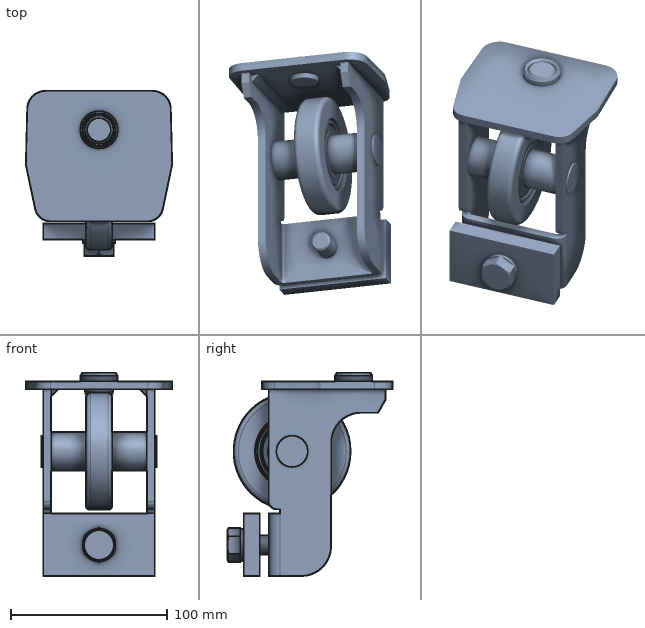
import cadquery as cq
import math


overall_height = 130.5
sheet = 5.2

plate_top = 124.9
plate_thickness = 5.2
plate_back = 25.0
plate_front = -58.7
plate_shoulder_y = -22.3
plate_half_width = 47.0
plate_back_half_width = 45.8
plate_front_half_width = 39.3
plate_back_radius = 12.0
plate_front_radius = 10.0
plate_shoulder_radius = 5.0

arm_span = 71.8
arm_back = 20.5
arm_front = -54.4
arm_tail_bottom = 104.7
arm_tail_slant_top = 113.0
arm_tail_tip = 15.7
arm_waist_back = -14.4
arm_waist_radius = 19.0
arm_heel_radius = 19.3
arm_nose_bottom = 42.8
arm_nose_radius = 5.1
weld_leg = 4.5
weld_inset = sheet

web_height = 40.2
bend_outer_radius = 7.2

kingpin_radius = 9.1
kingpin_top = 130.0
kingpin_bottom = 116.8
kingpin_chamfer = 1.6
kingpin_taper_width = 0.5
kingpin_taper_height = 1.8
collar_radius = 12.0
collar_chamfer_width = 1.3
collar_chamfer_height = 2.1
collar_rim_inner_radius = 10.3

clamp_back = -60.0
clamp_thickness = 10.5
bolt_height = 20.0
bolt_radius = 6.3
bolt_end = -33.1
bolt_end_chamfer = 1.0
washer_radius = 10.6
washer_thickness = 2.2
hex_sides = 6
hex_across_flats = 19.0
hex_thickness = 8.2
hex_chamfer_angle = 30.0

wheel_y = -39.4
wheel_z = 80.0
wheel_radius = 37.6
wheel_width = 17.0
tread_fillet = 3.0
axle_radius = 10.0
axle_length = 74.0
spacer_radius = 12.5
bore_chamfer_radius = 23.9
bore_radius = 23.2
bearing_chamfer = 1.0
bearing_depth = 1.5
groove_outer_radius = 20.5
groove_inner_radius = 18.9
groove_depth = 1.6
shield_inner_radius = 15.5
shield_depth = 0.7

plate_bottom = plate_top - plate_thickness
arm_outer = arm_span / 2
arm_inner = arm_outer - sheet
fold_line = arm_front + bend_outer_radius
clamp_front = clamp_back - clamp_thickness
washer_front = clamp_front - washer_thickness
hex_front = washer_front - hex_thickness


def cylinder_along_x(radius, length):
    """Cylinder on the wheel axis, centred on X = 0."""
    axis_plane = cq.Workplane("YZ", origin=(-length / 2, wheel_y, wheel_z))
    return axis_plane.circle(radius).extrude(length)


def cylinder_along_y(radius, back, front):
    """Cylinder on the bolt axis, from its back end towards the front."""
    axis_plane = cq.Workplane("XZ", origin=(0, back, bolt_height))
    return axis_plane.circle(radius).extrude(back - front)


def make_top_plate():
    right_side = [
        (plate_back_half_width, plate_back),
        (plate_half_width, plate_shoulder_y),
        (plate_front_half_width, plate_front),
    ]
    left_side = [(-x, y) for x, y in reversed(right_side)]
    plate = cq.Workplane("XY", origin=(0, 0, plate_bottom))
    plate = plate.polyline(right_side + left_side).close().extrude(plate_thickness)
    plate = plate.edges("|Z and >Y").fillet(plate_back_radius)
    plate = plate.edges("|Z and <Y").fillet(plate_front_radius)
    return plate.edges("|Z and (>X or <X)").fillet(plate_shoulder_radius)


def make_arm(side):
    """One side arm; side is +1 or -1 along X."""
    heel_back = arm_waist_back - arm_heel_radius
    waist_curve_y = arm_waist_back + arm_waist_radius
    waist_curve_z = arm_tail_bottom - arm_waist_radius
    diagonal = math.sqrt(0.5)
    nose_y = arm_front + arm_nose_radius
    nose_z = arm_nose_bottom + arm_nose_radius
    start_x = arm_inner if side > 0 else -arm_outer
    profile = (
        cq.Workplane("YZ", origin=(start_x, 0, 0))
        .moveTo(arm_front, plate_bottom)
        .lineTo(arm_back, plate_bottom)
        .lineTo(arm_back, arm_tail_slant_top)
        .lineTo(arm_tail_tip, arm_tail_bottom)
        .lineTo(waist_curve_y, arm_tail_bottom)
        .threePointArc(
            (waist_curve_y - arm_waist_radius * diagonal, waist_curve_z + arm_waist_radius * diagonal),
            (arm_waist_back, waist_curve_z),
        )
        .lineTo(arm_waist_back, arm_heel_radius)
        .threePointArc(
            (heel_back + arm_heel_radius * diagonal, arm_heel_radius * (1 - diagonal)),
            (heel_back, 0),
        )
        .lineTo(fold_line, 0)
        .lineTo(fold_line, arm_nose_bottom)
        .lineTo(nose_y, arm_nose_bottom)
        .threePointArc(
            (nose_y - arm_nose_radius * diagonal, nose_z - arm_nose_radius * diagonal),
            (arm_front, nose_z),
        )
        .close()
    )
    return profile.extrude(sheet)


def make_weld(side):
    """Triangular weld in the corner between an arm and the top plate."""
    corner_x = side * arm_inner
    triangle = [
        (corner_x, plate_bottom),
        (corner_x - side * weld_leg, plate_bottom),
        (corner_x, plate_bottom - weld_leg),
    ]
    weld_back = arm_back - weld_inset
    weld_length = weld_back - (arm_front + weld_inset)
    return cq.Workplane("XZ", origin=(0, weld_back, 0)).polyline(triangle).close().extrude(weld_length)


def make_web():
    """Front wall with its two rounded folds, open towards the back."""
    bend_inner_radius = bend_outer_radius - sheet
    bend_start_x = arm_outer - bend_outer_radius
    inner_face = arm_front + sheet
    outline = (
        cq.Workplane("XY")
        .moveTo(-arm_outer, fold_line)
        .radiusArc((-bend_start_x, arm_front), -bend_outer_radius)
        .lineTo(bend_start_x, arm_front)
        .radiusArc((arm_outer, fold_line), -bend_outer_radius)
        .lineTo(arm_inner, fold_line)
        .radiusArc((bend_start_x, inner_face), bend_inner_radius)
        .lineTo(-bend_start_x, inner_face)
        .radiusArc((-arm_inner, fold_line), bend_inner_radius)
        .close()
    )
    return outline.extrude(web_height)


def make_kingpin():
    """Collar and chamfered pin, turned as one profile about the Z axis."""
    pin_end_radius = kingpin_radius - kingpin_chamfer
    rim_drop = collar_rim_inner_radius - kingpin_radius
    profile = [
        (0, kingpin_bottom),
        (kingpin_radius - kingpin_taper_width, kingpin_bottom),
        (kingpin_radius, kingpin_bottom + kingpin_taper_height),
        (kingpin_radius, plate_top),
        (collar_radius, plate_top),
        (collar_radius, overall_height - collar_chamfer_height),
        (collar_radius - collar_chamfer_width, overall_height),
        (collar_rim_inner_radius, overall_height),
        (kingpin_radius, overall_height - rim_drop),
        (kingpin_radius, kingpin_top - kingpin_chamfer),
        (pin_end_radius, kingpin_top),
        (0, kingpin_top),
    ]
    return cq.Workplane("XZ").polyline(profile).close().revolve(360, (0, 0, 0), (0, 1, 0))


def make_clamp():
    """Clamp plate with the bolt and washer that hold it to the web."""
    plate = cq.Workplane("XY", origin=(0, clamp_front, 0))
    plate = plate.box(arm_span, clamp_thickness, web_height, centered=(True, False, False))
    shank = cylinder_along_y(bolt_radius, bolt_end, clamp_back).faces(">Y").chamfer(bolt_end_chamfer)
    washer = cylinder_along_y(washer_radius, clamp_front, washer_front)
    return plate.union(shank).union(washer).union(make_bolt_head())


def make_bolt_head():
    """Hexagon with two corners up and down, its front corners turned off conically."""
    corner_step = 2 * math.pi / hex_sides
    corner_radius = hex_across_flats / 2 / math.cos(corner_step / 2)
    corners = [
        (corner_radius * math.sin(corner_step * i), corner_radius * math.cos(corner_step * i))
        for i in range(hex_sides)
    ]
    head = cq.Workplane("XZ", origin=(0, washer_front, bolt_height)).polyline(corners).close()
    head = head.extrude(hex_thickness)
    chamfer_width = corner_radius - hex_across_flats / 2
    chamfer_height = chamfer_width * math.tan(math.radians(hex_chamfer_angle))
    turned = cylinder_along_y(corner_radius, washer_front, hex_front)
    turned = turned.faces("<Y").chamfer(chamfer_height, chamfer_width)
    return head.intersect(turned)


def make_frame():
    frame = make_top_plate().union(make_web())
    for side in (-1, 1):
        frame = frame.union(make_arm(side)).union(make_weld(side))
    frame = frame.union(make_kingpin()).union(make_clamp())
    return frame.cut(cylinder_along_x(axle_radius, axle_length))


def make_wheel():
    """Wheel with its bearing, the spacers and the axle, all turned about the wheel axis."""
    face = wheel_width / 2
    bearing_face = face - bearing_depth
    shield_face = bearing_face - shield_depth
    groove_floor = bearing_face - groove_depth
    right_hub = [
        (axle_length / 2, 0),
        (axle_length / 2, axle_radius),
        (arm_inner, axle_radius),
        (arm_inner, spacer_radius),
        (bearing_face, spacer_radius),
        (bearing_face, shield_inner_radius),
        (shield_face, shield_inner_radius),
        (shield_face, groove_inner_radius),
        (groove_floor, (groove_inner_radius + groove_outer_radius) / 2),
        (bearing_face, groove_outer_radius),
        (bearing_face, bore_radius - bearing_chamfer),
        (bearing_face - bearing_chamfer, bore_radius),
        (face - (bore_chamfer_radius - bore_radius), bore_radius),
        (face, bore_chamfer_radius),
        (face, wheel_radius),
    ]
    left_hub = [(-x, radius) for x, radius in reversed(right_hub)]
    profile = cq.Workplane("XY", origin=(0, wheel_y, wheel_z)).polyline(right_hub + left_hub).close()
    wheel = profile.revolve(360, (0, 0, 0), (1, 0, 0))
    rim_edges = cq.selectors.RadiusNthSelector(-1)
    return wheel.edges(rim_edges).fillet(tread_fillet)


frame = make_frame()
wheel = make_wheel()

result = cq.Compound.makeCompound([frame.solids().val(), wheel.solids().val()])